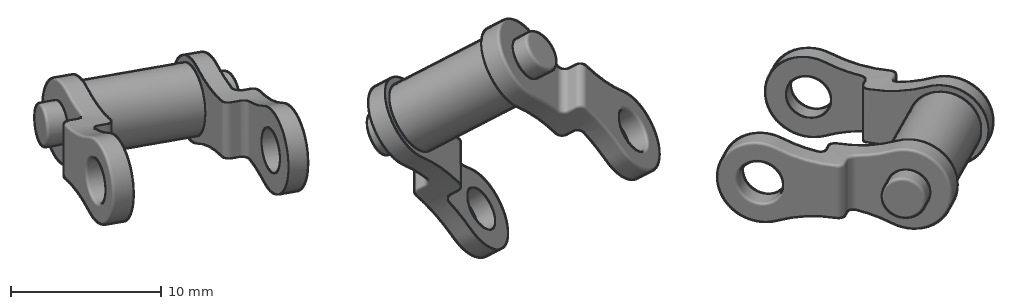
import cadquery as cq
import math

length = 15.79
end_diameter = 5.98
waist_half_height = 2.0
inner_gap = 8.0
plate_thickness = 1.5
overall_width = 14.2
riser_thickness = 1.72
bend_radius = 0.5
edge_radius = 0.19
roller_diameter = 5.0
pin_diameter = 3.0
hole_diameter = 3.1
pin_low_reach = 6.71
pin_high_reach = 7.01

end_radius = end_diameter / 2
pitch = length - end_diameter
middle_x = pitch / 2
inner_y = inner_gap / 2
narrow_outer_y = inner_y + plate_thickness
wide_outer_y = overall_width / 2
wide_inner_y = wide_outer_y - plate_thickness
riser_outer_x = middle_x - riser_thickness / 2
riser_inner_x = middle_x + riser_thickness / 2

waist_depth = end_radius - waist_half_height
waist_radius = (middle_x**2 + waist_half_height**2 - end_radius**2) / (2 * waist_depth)
tangent_angle = math.asin(middle_x / (end_radius + waist_radius))
tangent_x = end_radius * math.sin(tangent_angle)
tangent_z = end_radius * math.cos(tangent_angle)


def plate_outline():
    """Waisted two-lobe outline, extruded along +Y past the plate."""
    return (
        cq.Workplane("XZ")
        .moveTo(tangent_x, tangent_z)
        .threePointArc((middle_x, waist_half_height), (pitch - tangent_x, tangent_z))
        .threePointArc((pitch + end_radius, 0), (pitch - tangent_x, -tangent_z))
        .threePointArc((middle_x, -waist_half_height), (tangent_x, -tangent_z))
        .threePointArc((-end_radius, 0), (tangent_x, tangent_z))
        .close()
        .extrude(-overall_width)
    )


def bent_strip():
    """Stepped strip with rounded bends, wide enough to hold the outline."""
    left_x = -length
    right_x = 2 * length
    bends = cq.selectors.BoxSelector(
        (riser_outer_x - bend_radius, 0, -length),
        (riser_inner_x + bend_radius, overall_width, length),
    )
    return (
        cq.Workplane("XY")
        .moveTo(left_x, inner_y)
        .lineTo(riser_inner_x, inner_y)
        .lineTo(riser_inner_x, wide_inner_y)
        .lineTo(right_x, wide_inner_y)
        .lineTo(right_x, wide_outer_y)
        .lineTo(riser_outer_x, wide_outer_y)
        .lineTo(riser_outer_x, narrow_outer_y)
        .lineTo(left_x, narrow_outer_y)
        .close()
        .extrude(end_diameter, both=True)
        .edges("|Z")
        .edges(bends)
        .fillet(bend_radius)
    )


def link_plate():
    """Plate on the +Y side, its outward edges and hole rim rounded."""
    hole = cq.Workplane("XZ").center(pitch, 0).circle(hole_diameter / 2).extrude(-overall_width)
    plate = bent_strip().intersect(plate_outline()).cut(hole)
    return plate.faces(">Y").edges().fillet(edge_radius)


def pin_half():
    """Half of the pin, reaching +Y, with a slanted and rounded end."""
    radius = pin_diameter / 2
    pin = cq.Workplane("XZ").circle(radius).extrude(-overall_width)
    profile = (
        cq.Workplane("XY")
        .moveTo(-radius, 0)
        .lineTo(radius, 0)
        .lineTo(radius, pin_high_reach)
        .lineTo(-radius, pin_low_reach)
        .close()
        .extrude(pin_diameter, both=True)
    )
    return pin.intersect(profile).edges(">Y").fillet(edge_radius)


def side():
    """One plate with its half of the pin."""
    return link_plate().union(pin_half())


roller = cq.Workplane("XZ", origin=(0, -inner_y, 0)).circle(roller_diameter / 2).extrude(-inner_gap)
result = roller.union(side()).union(side().mirror("XZ"))